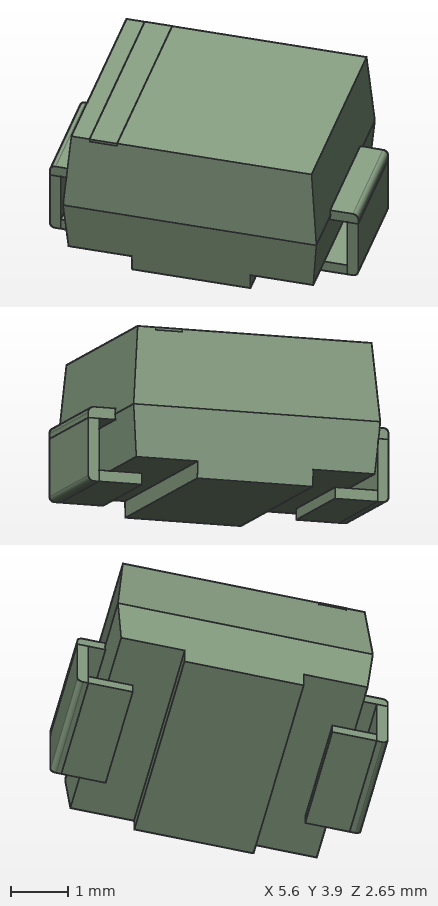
import cadquery as cq
import math

case_length = 4.6
case_width = 3.9
case_top_z = 2.65
parting_z = 1.225
draft_slope = 1 / 12
draft_angle = math.degrees(math.atan(draft_slope))

foot_length = 2.15
foot_height = 0.3

band_width = 0.5
band_depth = 0.05
band_centre_x = -1.6
band_bottom_z = case_top_z - band_depth
band_half_length = case_width / 2 - (band_bottom_z - parting_z) * draft_slope

span_over_leads = 5.6
lead_width = 2.0
lead_thickness = 0.2
bend_radius = 0.1
shoulder_top_z = parting_z + lead_thickness / 2
shoulder_bottom_z = shoulder_top_z - lead_thickness
pad_length = 0.8
lead_outer_x = span_over_leads / 2
upright_inner_x = lead_outer_x - lead_thickness
pad_inner_x = upright_inner_x - pad_length


def box(x_min, x_max, y_min, y_max, z_min, z_max):
    """Axis-aligned block between the given limits."""
    return (
        cq.Workplane("XY")
        .box(x_max - x_min, y_max - y_min, z_max - z_min, centered=False)
        .translate((x_min, y_min, z_min))
    )


def drafted_block(height):
    """Case half of signed height, tapering away from the parting plane."""
    return (
        cq.Workplane("XY", origin=(0, 0, parting_z))
        .rect(case_length, case_width)
        .extrude(height, taper=draft_angle)
    )


def make_band():
    return box(
        band_centre_x - band_width / 2,
        band_centre_x + band_width / 2,
        -band_half_length,
        band_half_length,
        band_bottom_z,
        case_top_z,
    )


def make_upper_case(band):
    return drafted_block(case_top_z - parting_z).cut(band)


def make_lower_case():
    """Lower half, cut away on both sides so that only the foot reaches Z = 0."""
    lower = drafted_block(-parting_z)
    for x_min in (-case_length / 2, foot_length / 2):
        x_max = x_min + (case_length - foot_length) / 2
        lower = lower.cut(box(x_min, x_max, -case_width / 2, case_width / 2, 0, foot_height))
    return lower


def lead_block(x_min, x_max, z_min, z_max):
    """Piece of the +X lead, centred on Y."""
    return box(x_min, x_max, -lead_width / 2, lead_width / 2, z_min, z_max)


def make_shoulder(upper_case, lower_case):
    """Flat top of the lead, ending flush against the drafted case walls."""
    wall_inset = lead_thickness / 2 * draft_slope
    return (
        lead_block(case_length / 2 - wall_inset, lead_outer_x, shoulder_bottom_z, shoulder_top_z)
        .edges("|Y and >X and >Z")
        .fillet(bend_radius)
        .cut(upper_case)
        .cut(lower_case)
    )


def make_upright():
    return (
        lead_block(upright_inner_x, lead_outer_x, 0, shoulder_bottom_z)
        .edges("|Y and >X and <Z")
        .fillet(bend_radius)
    )


def make_pad():
    return lead_block(pad_inner_x, upright_inner_x, 0, lead_thickness)


band = make_band()
upper_case = make_upper_case(band)
lower_case = make_lower_case()

lead_pieces = []
for piece in (make_shoulder(upper_case, lower_case), make_upright(), make_pad()):
    lead_pieces.append(piece.val())
    lead_pieces.append(piece.mirror("YZ").val())

result = cq.Compound.makeCompound([upper_case.val(), lower_case.val(), band.val(), *lead_pieces])